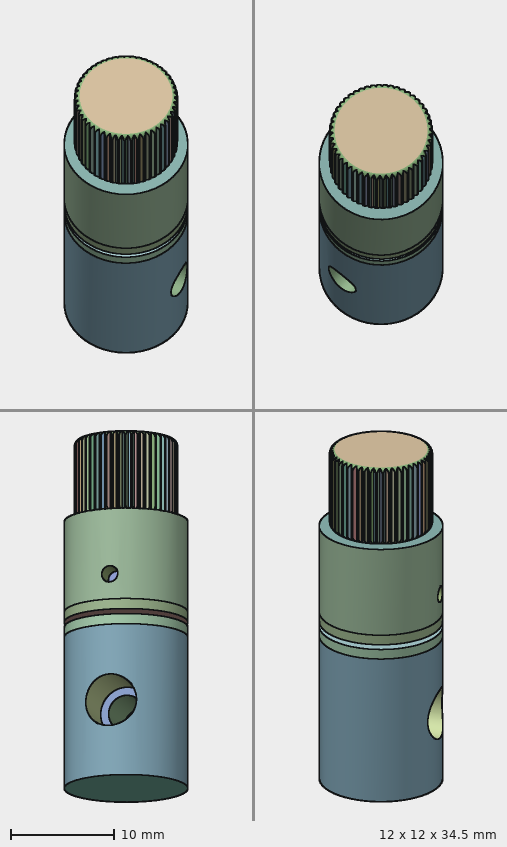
import cadquery as cq
import math

barrel_diameter = 12.0
lower_barrel_height = 15.0
washer_thickness = 1.0
washer_gap = 0.5
upper_barrel_height = 9.0
knob_height = 8.0

lower_washer_z = lower_barrel_height
upper_washer_z = lower_washer_z + washer_thickness + washer_gap
upper_barrel_z = upper_washer_z + washer_thickness
knob_z = upper_barrel_z + upper_barrel_height

neck_diameter = 7.65

cross_hole_diameter = 3.5
cross_hole_z = lower_barrel_height / 2
counterbore_diameter = 5.1
counterbore_depth = barrel_diameter / 2

side_hole_diameter = 1.6
side_hole_z = 20.0
side_hole_depth = 2.5

knob_diameter = 10.0
tooth_count = 50
groove_depth = 0.3
tooth_land_width = 0.15
knob_edge_radius = 0.5


def disc(diameter, height, base_z):
    """Upright cylinder on the Z axis, standing at base_z."""
    return cq.Workplane("XY").workplane(offset=base_z).circle(diameter / 2).extrude(height)


def hole_from_left(diameter, depth, axis_z):
    """Cutter along +X that starts on the -X side of a barrel."""
    return (
        cq.Workplane("YZ", origin=(-barrel_diameter / 2, 0, axis_z))
        .circle(diameter / 2)
        .extrude(depth)
    )


def make_lower_barrel():
    barrel = disc(barrel_diameter, lower_barrel_height, 0)
    cross_hole = hole_from_left(cross_hole_diameter, barrel_diameter, cross_hole_z)
    counterbore = hole_from_left(counterbore_diameter, counterbore_depth, cross_hole_z)
    return barrel.cut(cross_hole).cut(counterbore)


def make_lower_washer():
    return disc(barrel_diameter, washer_thickness, lower_washer_z)


def make_upper_washer():
    neck = disc(neck_diameter, washer_gap, upper_washer_z - washer_gap)
    return disc(barrel_diameter, washer_thickness, upper_washer_z).union(neck)


def make_upper_barrel():
    barrel = disc(barrel_diameter, upper_barrel_height, upper_barrel_z)
    return barrel.cut(hole_from_left(side_hole_diameter, side_hole_depth, side_hole_z))


def polar_point(radius, angle):
    return (radius * math.cos(angle), radius * math.sin(angle))


def knurl_outline():
    """Ring of teeth with narrow lands and V grooves; one tooth points along +X."""
    tip_radius = knob_diameter / 2
    pitch_angle = 2 * math.pi / tooth_count
    half_land_angle = tooth_land_width / knob_diameter
    points = []
    for tooth in range(tooth_count):
        angle = tooth * pitch_angle
        points.append(polar_point(tip_radius, angle - half_land_angle))
        points.append(polar_point(tip_radius, angle + half_land_angle))
        points.append(polar_point(tip_radius - groove_depth, angle + pitch_angle / 2))
    return points


def make_knob():
    """Knurled cylinder whose tooth ends are rounded over at the top and bottom."""
    knurl = (
        cq.Workplane("XY")
        .workplane(offset=knob_z)
        .polyline(knurl_outline())
        .close()
        .extrude(knob_height)
    )
    envelope = disc(knob_diameter, knob_height, knob_z).faces("<Z or >Z").edges().fillet(knob_edge_radius)
    return knurl.intersect(envelope)


lower_barrel = make_lower_barrel()
lower_washer = make_lower_washer()
upper_washer = make_upper_washer()
upper_barrel = make_upper_barrel()
knob = make_knob()

result = cq.Compound.makeCompound([
    lower_barrel.val(),
    lower_washer.val(),
    upper_washer.val(),
    upper_barrel.val(),
    knob.val(),
])